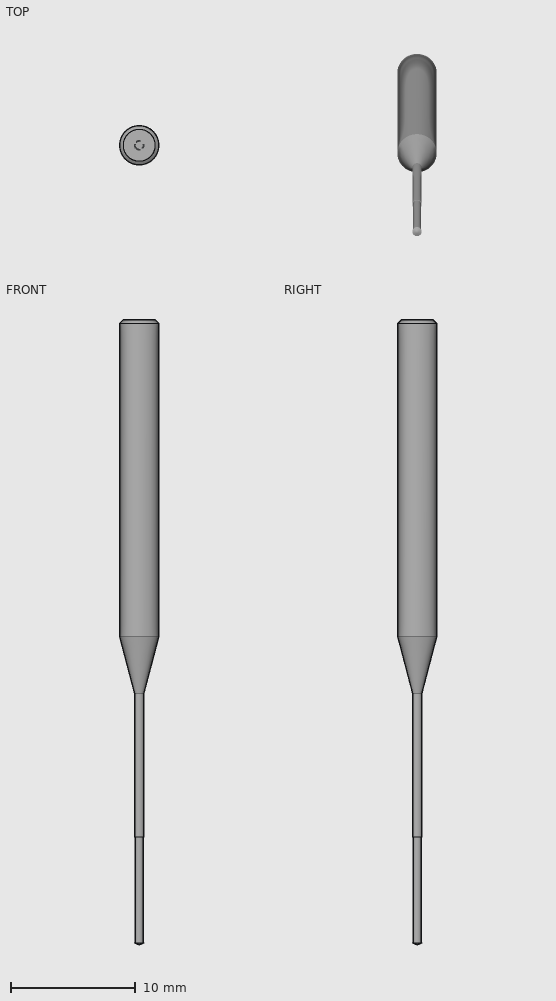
import cadquery as cq

total_length = 50.15
shank_diameter = 3.15
shank_chamfer = 0.3

head_height = 0.15
relief_top = 8.7
cone_bottom = 20.15
cone_top = 24.7

head_diameter = 0.75
upper_neck_diameter = head_diameter
relief_diameter = 0.65


def make_holder():
    """Shank, cone and stepped neck, revolved as one body above the cutting head."""
    shank_radius = shank_diameter / 2
    neck_radius = upper_neck_diameter / 2
    relief_radius = relief_diameter / 2
    profile = (
        cq.Workplane("XZ")
        .moveTo(0, head_height)
        .lineTo(relief_radius, head_height)
        .lineTo(relief_radius, relief_top)
        .lineTo(neck_radius, relief_top)
        .lineTo(neck_radius, cone_bottom)
        .lineTo(shank_radius, cone_top)
        .lineTo(shank_radius, total_length)
        .lineTo(0, total_length)
        .close()
    )
    holder = profile.revolve(360, (0, 0, 0), (0, 1, 0))
    return holder.faces(">Z").edges().chamfer(shank_chamfer)


def make_cutting_head():
    """Shallow conical point whose rim stands out past the relieved neck."""
    profile = (
        cq.Workplane("XZ")
        .moveTo(0, 0)
        .lineTo(head_diameter / 2, head_height)
        .lineTo(0, head_height)
        .close()
    )
    return profile.revolve(360, (0, 0, 0), (0, 1, 0))


holder = make_holder()
cutting_head = make_cutting_head()

result = cq.Compound.makeCompound([holder.val(), cutting_head.val()])